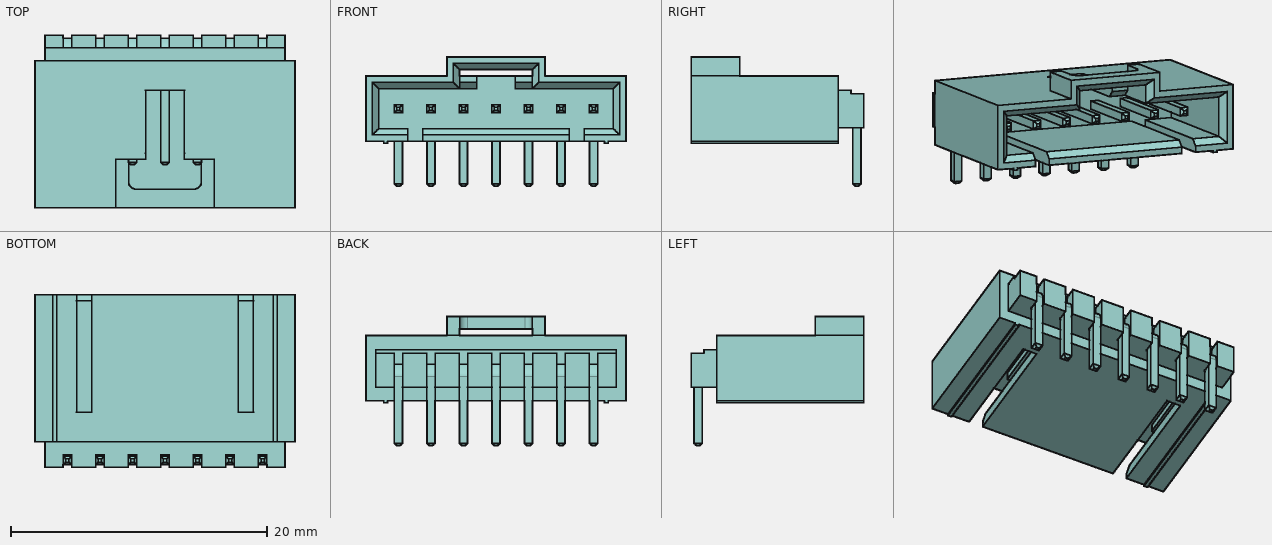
import cadquery as cq


pin_count = 7
pin_pitch = 2.55
pin_size = 0.65
pin_height = 2.56
pin_front = 3.37
leg_center_y = 12.95
leg_bottom = -3.5
bend_inner_radius = 0.3
bend_center_radius = bend_inner_radius + pin_size / 2
tip_length = 0.2
tip_size = pin_size - 2 * tip_length

body_width = 20.33
body_depth = 11.5
body_height = 5.12
cavity_depth = 9.19
mouth_wall = 0.5
mouth_chamfer = 0.49
wall = mouth_wall + mouth_chamfer

bridge_width = 7.68
bridge_depth = 3.8
bridge_top = 6.6
bridge_front_bar = 1.46
window_radius = 0.6
roof_slot_width = 3.03

floor_slot_width = 1.18
floor_slot_x = 6.32
rail_width = 0.33
rail_height = 0.15
rail_x = 8.62

rear_width = 18.78
rear_end = 13.5
rear_step_y = 12.5
rear_bottom = 1.05
rear_top = 4.0
rear_step_top = 3.75

overlap = 0.2


def box(x0, x1, y0, y1, z0, z1):
    """Box between two opposite corners."""
    return cq.Workplane("XY").box(x1 - x0, y1 - y0, z1 - z0, centered=False).translate((x0, y0, z0))


def centered_box(width, x, y0, y1, z0, z1):
    """Box of a given width centred on x."""
    return box(x - width / 2, x + width / 2, y0, y1, z0, z1)


def shroud_outline(inset):
    """Closed inverted-T wire of housing plus bridge in the mouth plane, inset from the outer faces."""
    half_body = body_width / 2 - inset
    half_bridge = bridge_width / 2 - inset
    roof = body_height - inset
    half_points = [(half_body, inset), (half_body, roof), (half_bridge, roof), (half_bridge, bridge_top - inset)]
    mirrored = [(-x, z) for x, z in reversed(half_points)]
    return cq.Workplane("XZ").polyline(half_points + mirrored).close()


def mouth_flare():
    """Tool that narrows at 45 degrees from the mouth opening to the cavity outline."""
    mouth_wire = shroud_outline(mouth_wall).val()
    cavity_wire = shroud_outline(wall).val().translate(cq.Vector(0, mouth_chamfer, 0))
    return cq.Solid.makeLoft([mouth_wire, cavity_wire], ruled=True)


def housing():
    """Hollow body with the bridge on its roof and a flared mouth."""
    body = centered_box(body_width, 0, 0, body_depth, 0, body_height)
    body = body.union(centered_box(bridge_width, 0, 0, bridge_depth, 0, bridge_top))

    body = body.cut(mouth_flare())
    body = body.cut(shroud_outline(wall).extrude(-bridge_depth))
    body = body.cut(centered_box(body_width - 2 * wall, 0, 0, cavity_depth, wall, body_height - wall))
    return body


def bridge_window():
    """Vertical opening behind the front bar of the bridge, rounded at its front corners."""
    width = bridge_width - 2 * wall
    window = centered_box(width, 0, bridge_front_bar, bridge_depth, body_height - wall, bridge_top + overlap)
    return window.edges("|Z and <Y").fillet(window_radius)


def roof_edge_chamfer():
    """Wedge that bevels the underside of the roof edge behind the bridge."""
    width = bridge_width - 2 * wall
    ceiling = body_height - wall
    return (
        cq.Workplane("YZ", origin=(-width / 2, 0, 0))
        .polyline([
            (bridge_depth, ceiling),
            (bridge_depth + mouth_chamfer, ceiling),
            (bridge_depth, ceiling + mouth_chamfer),
        ])
        .close()
        .extrude(width)
    )


def rear_block():
    """Two-step block behind the housing that carries the legs."""
    upper_step = centered_box(rear_width, 0, body_depth, rear_step_y, rear_bottom, rear_top)
    lower_step = centered_box(rear_width, 0, rear_step_y, rear_end, rear_bottom, rear_step_top)
    return upper_step.union(lower_step)


def pin_tip(plane):
    """Square pyramid frustum that starts on the plane and narrows along its normal."""
    return plane.rect(pin_size, pin_size).workplane(offset=tip_length).rect(tip_size, tip_size).loft()


def pin(x):
    """Square pin: horizontal contact, quarter bend and vertical leg, pointed at both ends."""
    contact_start = pin_front + tip_length
    leg_end = leg_bottom + tip_length
    bend_drop = pin_height - bend_center_radius
    bend_start = leg_center_y - bend_center_radius
    path = (
        cq.Workplane("YZ", origin=(x, 0, 0))
        .moveTo(contact_start, pin_height)
        .lineTo(bend_start, pin_height)
        .tangentArcPoint((leg_center_y, bend_drop), relative=False)
        .lineTo(leg_center_y, leg_end)
    )
    front_plane = cq.Workplane("XZ", origin=(x, contact_start, pin_height))
    leg_plane = cq.Workplane("XY", origin=(x, leg_center_y, leg_end)).transformed(rotate=(180, 0, 0))
    shaft = front_plane.rect(pin_size, pin_size).sweep(path)
    return shaft.union(pin_tip(front_plane)).union(pin_tip(leg_plane))


def roof_slot():
    """Slot through the roof from the bridge back to the end of the cavity."""
    return centered_box(roof_slot_width, 0, bridge_depth, cavity_depth, body_height - wall, body_height + overlap)


def floor_slot(x):
    """Slot through the floor, open at the mouth."""
    return centered_box(floor_slot_width, x, -overlap, cavity_depth, -overlap, wall + overlap)


def rail(x):
    """Thin standoff rail under the floor, rooted halfway into it."""
    return centered_box(rail_width, x, 0, body_depth, -rail_height, wall / 2)


def leg_notch(x):
    """Notch through the lower rear step, as wide as the leg that drops through it."""
    return centered_box(pin_size, x, rear_step_y, rear_end + overlap, rear_bottom - overlap, rear_top)


result = housing().cut(bridge_window()).cut(roof_edge_chamfer()).cut(roof_slot())
result = result.union(rear_block())

for side in (-1, 1):
    result = result.cut(floor_slot(side * floor_slot_x))
    result = result.union(rail(side * rail_x))

for index in range(pin_count):
    pin_x = (index - (pin_count - 1) / 2) * pin_pitch
    result = result.cut(leg_notch(pin_x))
    result = result.union(pin(pin_x))